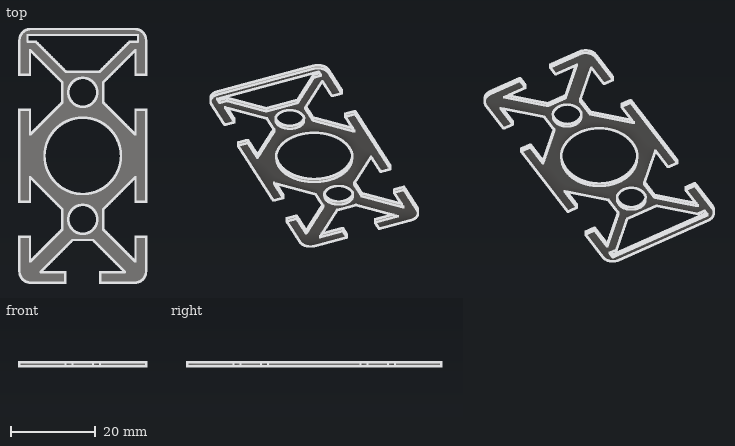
import cadquery as cq
import math

cell = 30.0
width = cell
length = 2 * cell
thickness = 1.0
corner_radius = 2.75

core_hole_diameter = 6.8
center_hole_diameter = 18.0

slot_opening = 8.2
lip_thickness = 2.55
core_half_width = 4.9
web_thickness = 3.5

cavity_wall = 1.5
cavity_ledge_depth = 3.0
cavity_half_width = 13.0
cavity_web_offset = 0.9

half_cell = cell / 2
cell_centers = (-half_cell, half_cell)


def make_plate():
    """Rounded rectangular plate standing on the XY plane."""
    plate = cq.Workplane("XY").rect(width, length).extrude(thickness)
    return plate.edges("|Z").fillet(corner_radius)


def make_slot(center_y, direction):
    """Slot cutter of the cell at center_y, opening toward direction (degrees from +X)."""
    inner_edge = half_cell - lip_thickness
    half_opening = slot_opening / 2
    flank_offset = web_thickness / math.sqrt(2)
    core_half_flat = core_half_width - flank_offset
    tip_half_span = inner_edge - flank_offset
    outline = [
        (half_cell, -half_opening),
        (inner_edge, -half_opening),
        (inner_edge, -tip_half_span),
        (core_half_width, -core_half_flat),
        (core_half_width, core_half_flat),
        (inner_edge, tip_half_span),
        (inner_edge, half_opening),
        (half_cell, half_opening),
    ]
    slot = cq.Workplane("XY").polyline(outline).close().extrude(thickness)
    slot = slot.rotate((0, 0, 0), (0, 0, 1), direction)
    return slot.translate((0, center_y, 0))


def make_cavity():
    """Closed cavity cutter: a trapezoid widening into a shallow groove under the end wall."""
    groove_top = half_cell - cavity_wall
    ledge = half_cell - cavity_ledge_depth
    ledge_half_span = ledge - cavity_web_offset
    core_half_flat = core_half_width - cavity_web_offset
    outline = [
        (-core_half_flat, core_half_width),
        (core_half_flat, core_half_width),
        (ledge_half_span, ledge),
        (cavity_half_width, ledge),
        (cavity_half_width, groove_top),
        (-cavity_half_width, groove_top),
        (-cavity_half_width, ledge),
        (-ledge_half_span, ledge),
    ]
    cavity = cq.Workplane("XY").polyline(outline).close().extrude(thickness)
    return cavity.translate((0, half_cell, 0))


def make_hole(center_y, diameter):
    """Through-hole cutter on the centerline."""
    return cq.Workplane("XY").center(0, center_y).circle(diameter / 2).extrude(thickness)


result = make_plate()

for cell_y in cell_centers:
    result = result.cut(make_hole(cell_y, core_hole_diameter))
    for side_direction in (0, 180):
        result = result.cut(make_slot(cell_y, side_direction))

result = result.cut(make_slot(-half_cell, -90))
result = result.cut(make_cavity())
result = result.cut(make_hole(0, center_hole_diameter))